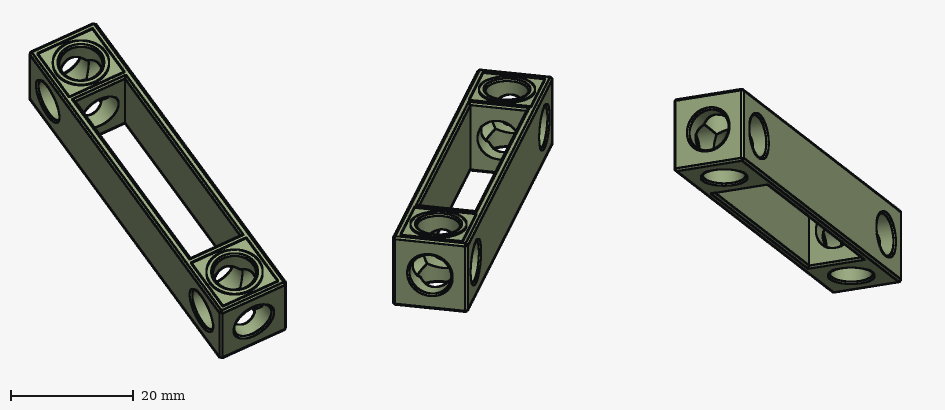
import cadquery as cq

length = 62.5
side = 12.5
edge_chamfer = 0.4

window_length = 37.5
window_width = 9.4

hole_diameter = 7.0
hole_chamfer = 0.3
hole_center_x = (length - side) / 2

recess_side = 10.4
recess_depth = 0.2
ring_diameter = 9.2

half_length = length / 2
half_side = side / 2


def chamfered_hole(center, inward, depth):
    """Drill starting at an outer face, with a conical lead-in at its mouth."""
    radius = hole_diameter / 2
    drill = cq.Solid.makeCylinder(radius, depth, center, inward)
    lead_in = cq.Solid.makeCone(radius + hole_chamfer, radius, hole_chamfer, center, inward)
    return cq.Workplane(drill).union(cq.Workplane(lead_in))


def window_cutter():
    """Rectangular through opening with both rims chamfered."""
    cutter = cq.Workplane().box(window_length, window_width, side)
    for outward in (1, -1):
        rim = (
            cq.Workplane(origin=(0, 0, outward * half_side))
            .rect(window_length + 2 * edge_chamfer, window_width + 2 * edge_chamfer)
            .workplane(offset=-outward * edge_chamfer)
            .rect(window_length, window_width)
            .loft(ruled=True)
        )
        cutter = cutter.union(rim)
    return cutter


def top_recess(x):
    """Square recess that leaves a ring standing around the vertical hole."""
    return (
        cq.Workplane(origin=(x, 0, half_side - recess_depth))
        .rect(recess_side, recess_side)
        .circle(ring_diameter / 2)
        .extrude(recess_depth)
    )


beam = cq.Workplane().box(length, side, side).edges().chamfer(edge_chamfer)
beam = beam.cut(window_cutter())

for end in (-1, 1):
    x = end * hole_center_x
    beam = beam.cut(top_recess(x))

    for sign in (-1, 1):
        y_mouth = cq.Vector(x, sign * half_side, 0)
        z_mouth = cq.Vector(x, 0, sign * half_side)
        beam = beam.cut(chamfered_hole(y_mouth, cq.Vector(0, -sign, 0), half_side))
        beam = beam.cut(chamfered_hole(z_mouth, cq.Vector(0, 0, -sign), half_side))

    x_mouth = cq.Vector(end * half_length, 0, 0)
    beam = beam.cut(chamfered_hole(x_mouth, cq.Vector(-end, 0, 0), side))

result = beam